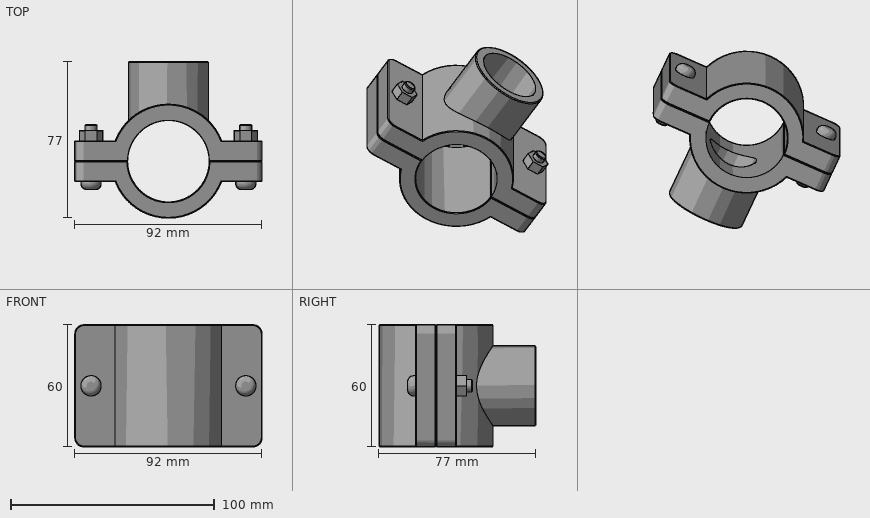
import cadquery as cq
import math

clamp_width = 92.0
clamp_height = 60.0
flange_thickness = 10.0
flange_corner_radius = 4.5
ring_radius = 28.0
main_bore_radius = 20.0
body_chamfer = 0.4

branch_diameter = 39.38
branch_end = 49.0
branch_chamfer = 0.5
branch_bore_diameter = 25.0
socket_diameter = 30.29
socket_floor = ring_radius

bolt_offset = 38.0
bolt_diameter = 6.0
bolt_tip = 18.0
bolt_tip_chamfer = 0.5
head_diameter = 10.0
head_height = 4.0
head_round = 3.0
nut_across_flats = 10.0
nut_height = 5.0
nut_sides = 6

same_place = 1e-3


def along_y(diameter, start, end, x=0.0):
    """Cylinder parallel to Y, from Y = start to Y = end."""
    return cq.Workplane("XZ", origin=(x, start, 0)).circle(diameter / 2).extrude(start - end)


def along_z(radius):
    """Cylinder on the main axis, as tall as the clamp."""
    return cq.Workplane("XY").circle(radius).extrude(clamp_height / 2, both=True)


def half_blank(side):
    """Sharp-edged, unbored clamp half; side is +1 for the +Y half and -1 for the -Y half."""
    flange = (
        cq.Workplane("XY")
        .box(clamp_width, flange_thickness, clamp_height)
        .translate((0, side * flange_thickness / 2, 0))
        .edges("|Y")
        .fillet(flange_corner_radius)
    )
    half_space = (
        cq.Workplane("XY")
        .box(clamp_width, ring_radius, clamp_height)
        .translate((0, side * ring_radius / 2, 0))
    )
    return flange.union(along_z(ring_radius).intersect(half_space))


def is_ring_root(edge):
    """True for the upright inside corners where the flange meets the outside of the ring."""
    middle = edge.Center()
    on_ring = math.isclose(math.hypot(middle.x, middle.y), ring_radius, abs_tol=same_place)
    return on_ring and abs(middle.z) < same_place


def chamfer_outline(half):
    """Break every edge except the inside corners and the tangent lines of the flange rounding."""
    edges = [edge for edge in half.edges("not |Y").vals() if not is_ring_root(edge)]
    return half.newObject(edges).chamfer(body_chamfer)


def make_cap_half():
    """The -Y half, with its bore edges broken as well."""
    return chamfer_outline(half_blank(-1).cut(along_z(main_bore_radius)))


def make_branch_half():
    """The +Y half with its branch; the bores are cut last and keep sharp edges."""
    tube = along_y(branch_diameter, 0, branch_end).faces(">Y").chamfer(branch_chamfer)
    branch_bore = along_y(branch_bore_diameter, 0, socket_floor)
    socket = along_y(socket_diameter, socket_floor, branch_end)
    half = chamfer_outline(half_blank(1)).union(tube)
    return half.cut(along_z(main_bore_radius)).cut(branch_bore).cut(socket)


def make_bolt(x):
    """Bolt and nut whose axis stands at the given X."""
    head_seat = -flange_thickness
    head = along_y(head_diameter, head_seat, head_seat - head_height, x)
    head = head.faces("<Y").edges().fillet(head_round)
    shank = along_y(bolt_diameter, head_seat, bolt_tip, x).faces(">Y").chamfer(bolt_tip_chamfer)
    nut_across_corners = nut_across_flats / math.cos(math.pi / nut_sides)
    nut = (
        cq.Workplane("XZ", origin=(x, flange_thickness, 0))
        .polygon(nut_sides, nut_across_corners)
        .extrude(-nut_height)
    )
    return head.union(shank).union(nut)


result = make_cap_half().union(make_branch_half())
for bolt_x in (-bolt_offset, bolt_offset):
    result = result.union(make_bolt(bolt_x))